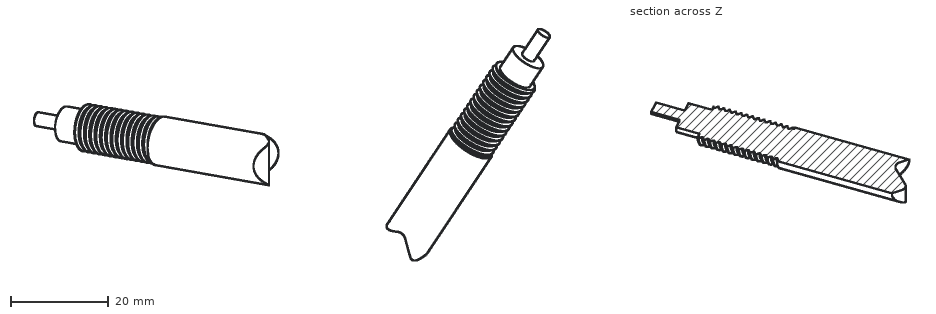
import cadquery as cq
import math

total_length = 56.55
pin_diameter = 2.95
pin_length = 6.35
collar_diameter = 7.35
collar_length = 5.15
body_diameter = 10.25

thread_length = 17.75
thread_crest_diameter = 9.85
thread_root_diameter = 8.7
thread_pitch = 1.265
thread_crest_width = 0.15
thread_root_width = 0.15
first_crest_offset = 0.6
ridge_embed = 0.1

tip_fillet = 1.35

thread_start = pin_length + collar_length
thread_end = thread_start + thread_length
body_radius = body_diameter / 2
zigzag_height = body_radius / 2
fillet_setback = tip_fillet * (math.sqrt(2) - 1)
tip_middle = total_length - zigzag_height + fillet_setback


def rod(diameter, start, end):
    """Cylinder on the X axis between two stations."""
    return cq.Workplane("YZ", origin=(start, 0, 0)).circle(diameter / 2).extrude(end - start)


def helical_ridge(profile, turns):
    """Solid ridge about Z from a closed (radius, height) profile, starting and ending on +X."""
    rise = turns * thread_pitch
    helices = [
        cq.Wire.makeHelix(thread_pitch, rise, radius).translate(cq.Vector(0, 0, height))
        for radius, height in profile
    ]
    next_helices = helices[1:] + helices[:1]
    faces = [cq.Face.makeRuledSurface(one, other) for one, other in zip(helices, next_helices)]
    for end_height in (0, rise):
        corners = [cq.Vector(radius, 0, height + end_height) for radius, height in profile]
        faces.append(cq.Face.makeFromWires(cq.Wire.makePolygon(corners, close=True)))
    return cq.Solid.makeSolid(cq.Shell.makeShell(faces)).fix()


def thread():
    """Root cylinder with a helical ridge, cut flat at both ends."""
    root_radius = thread_root_diameter / 2
    crest_radius = thread_crest_diameter / 2
    foot_radius = root_radius - ridge_embed
    half_foot = (thread_pitch - thread_root_width) / 2
    half_crest = thread_crest_width / 2
    profile = [
        (foot_radius, -half_foot),
        (root_radius, -half_foot),
        (crest_radius, -half_crest),
        (crest_radius, half_crest),
        (root_radius, half_foot),
        (foot_radius, half_foot),
    ]

    turns = math.ceil(thread_length / thread_pitch) + 2
    ridge = (
        cq.Workplane(obj=helical_ridge(profile, turns))
        .rotate((0, 0, 0), (0, 1, 0), 90)
        .translate((thread_start + first_crest_offset - thread_pitch, 0, 0))
    )
    envelope = rod(2 * body_diameter, thread_start, thread_end)
    core = rod(thread_root_diameter, thread_start, thread_end)
    return core.union(ridge.intersect(envelope, clean=False), clean=False)


def body():
    """Plain cylinder whose end follows the rounded zigzag, straight through in Z."""
    outline = (
        cq.Workplane("XY")
        .polyline([
            (thread_end, -body_radius),
            (tip_middle, -body_radius),
            (tip_middle + zigzag_height, -zigzag_height),
            (tip_middle - zigzag_height, zigzag_height),
            (tip_middle, body_radius),
            (thread_end, body_radius),
        ])
        .close()
        .extrude(body_radius, both=True)
    )
    peak_and_valley = cq.selectors.BoxSelector(
        (tip_middle - body_radius, -0.75 * body_radius, -body_radius),
        (tip_middle + body_radius, 0.75 * body_radius, body_radius),
    )
    outline = outline.edges("|Z").edges(peak_and_valley).fillet(tip_fillet)
    return rod(body_diameter, thread_end, total_length).intersect(outline)


pin = rod(pin_diameter, 0, pin_length)
collar = rod(collar_diameter, pin_length, thread_start)

result = pin.union(collar).union(body()).union(thread(), clean=False)